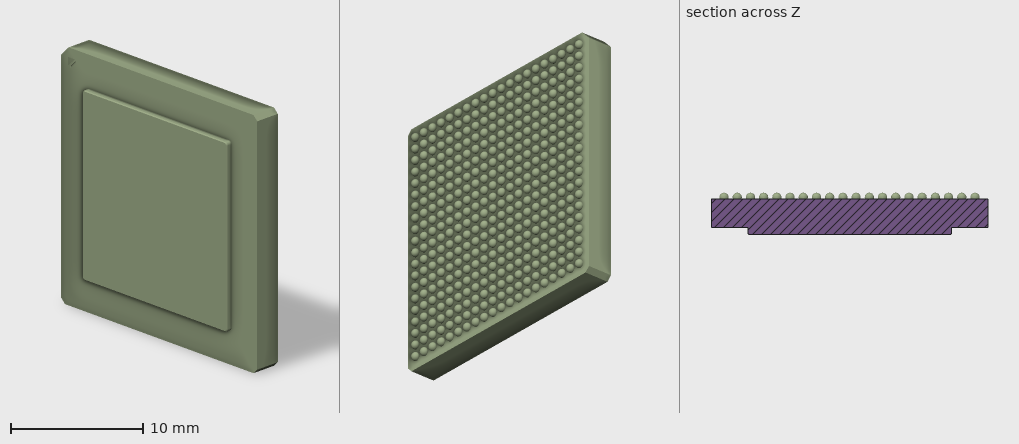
import cadquery as cq
import math

body_side = 21.0
body_thickness = 2.2
body_half = body_side / 2
corner_chamfer = 0.4
key_corner_chamfer = 0.8

lid_side = 15.46
lid_height = 0.5
lid_corner_radius = 0.25
lid_edge_chamfer = 0.08

ball_count = 20
ball_pitch = 1.0
ball_diameter = 0.7
ball_height = 0.45

mark_inset = 0.8
mark_leg = 0.65
mark_depth = 0.05
bar_length = 0.8
bar_width = 0.1
bar_angle = 45
bar_offset = 0.67


def make_body():
    outline = [
        (-body_half, -body_half + corner_chamfer),
        (-body_half + corner_chamfer, -body_half),
        (body_half - corner_chamfer, -body_half),
        (body_half, -body_half + corner_chamfer),
        (body_half, body_half - corner_chamfer),
        (body_half - corner_chamfer, body_half),
        (-body_half + key_corner_chamfer, body_half),
        (-body_half, body_half - key_corner_chamfer),
    ]
    return cq.Workplane("XZ").polyline(outline).close().extrude(-body_thickness)


def make_lid():
    lid = cq.Workplane("XZ").rect(lid_side, lid_side).extrude(lid_height)
    lid = lid.edges("|Y").fillet(lid_corner_radius)
    return lid.faces("<Y").chamfer(lid_edge_chamfer)


def make_pin_one_mark():
    """Cutter for the mark, built with the triangle's right-angle corner at the origin."""
    triangle = (
        cq.Workplane("XZ")
        .polyline([(0, 0), (mark_leg, 0), (0, -mark_leg)])
        .close()
        .extrude(-mark_depth)
    )
    bar_shift = bar_offset * math.cos(math.radians(bar_angle))
    bar = (
        cq.Workplane("XZ")
        .rect(bar_length, bar_width)
        .extrude(-mark_depth)
        .rotate((0, 0, 0), (0, 1, 0), -bar_angle)
        .translate((bar_shift, 0, -bar_shift))
    )
    return triangle.add(bar).combine().translate((-body_half + mark_inset, 0, body_half - mark_inset))


def make_balls():
    """Solder balls as spheres cut flat where they meet the +Y face."""
    radius = ball_diameter / 2
    center_offset = ball_height - radius
    sphere = cq.Workplane("YZ").sphere(radius).translate((0, center_offset, 0))
    keep = cq.Workplane("XY").box(
        ball_diameter, ball_diameter, ball_diameter, centered=(True, False, True)
    )
    ball = sphere.intersect(keep).translate((0, body_thickness, 0)).val()

    first = -(ball_count - 1) * ball_pitch / 2
    places = [first + i * ball_pitch for i in range(ball_count)]
    return [ball.translate(cq.Vector(x, 0, z)) for x in places for z in places]


package = make_body().union(make_lid()).cut(make_pin_one_mark())
result = cq.Workplane("XY").newObject([package.val().fuse(*make_balls(), glue=True)])